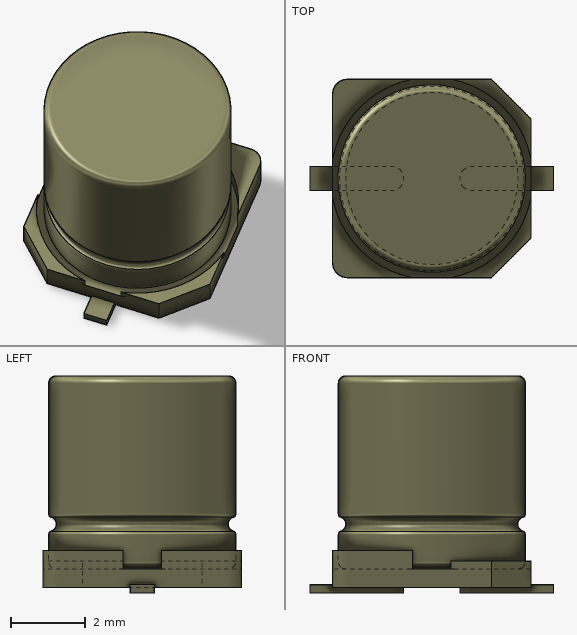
import cadquery as cq

overall_length = 6.5
overall_height = 5.8

base_side = 5.3
base_bottom = 0.15
base_top = 1.145
step_top = 0.85
corner_radius = 0.4
corner_chamfer = 1.06
recess_radius = 2.7
recess_floor = 0.65

can_radius = 5.0 / 2
can_edge_radius = 0.2
groove_center = 1.84
groove_depth = 0.2
groove_height = 0.385
lip_height = 0.1
lip_inset = 0.04

lead_width = 0.65
lead_thickness = 0.23
lead_gap = 1.495


def make_base():
    """Square base with two round and two chamfered corners, lower on its +X half."""
    half_side = base_side / 2
    height = base_top - base_bottom
    block = cq.Workplane("XY").workplane(offset=base_bottom).rect(base_side, base_side).extrude(height)
    block = block.edges("|Z and <X").fillet(corner_radius)
    block = block.edges("|Z and >X").chamfer(corner_chamfer)
    step = (
        cq.Workplane("XY")
        .workplane(offset=step_top)
        .center(half_side / 2, 0)
        .rect(half_side, base_side)
        .extrude(base_top - step_top)
    )
    recess = (
        cq.Workplane("XY")
        .workplane(offset=recess_floor)
        .circle(recess_radius)
        .extrude(base_top - recess_floor)
    )
    return block.cut(step).cut(recess)


def make_can():
    """Revolved can with rounded ends and a crimp groove between two rounded lips."""
    lip_radius = can_radius - lip_inset
    lip_rounding = (lip_height**2 + lip_inset**2) / (2 * lip_inset)
    groove_bottom = groove_center - groove_height / 2
    groove_top = groove_center + groove_height / 2
    profile = (
        cq.Workplane("XZ")
        .moveTo(0, recess_floor)
        .lineTo(can_radius - can_edge_radius, recess_floor)
        .radiusArc((can_radius, recess_floor + can_edge_radius), -can_edge_radius)
        .lineTo(can_radius, groove_bottom - lip_height)
        .radiusArc((lip_radius, groove_bottom), -lip_rounding)
        .threePointArc((can_radius - groove_depth, groove_center), (lip_radius, groove_top))
        .radiusArc((can_radius, groove_top + lip_height), -lip_rounding)
        .lineTo(can_radius, overall_height - can_edge_radius)
        .radiusArc((can_radius - can_edge_radius, overall_height), -can_edge_radius)
        .lineTo(0, overall_height)
        .close()
    )
    return profile.revolve(360, (0, 0, 0), (0, 1, 0))


def make_lead(side):
    """Flat lead with a round inner end; side is -1 for -X and 1 for +X."""
    half_width = lead_width / 2
    outer_end = side * overall_length / 2
    round_tip = side * lead_gap / 2
    round_start = round_tip + side * half_width
    return (
        cq.Workplane("XY")
        .moveTo(outer_end, -half_width)
        .lineTo(round_start, -half_width)
        .threePointArc((round_tip, 0), (round_start, half_width))
        .lineTo(outer_end, half_width)
        .close()
        .extrude(lead_thickness)
    )


result = make_base().union(make_can())
for side in (-1, 1):
    result = result.union(make_lead(side))